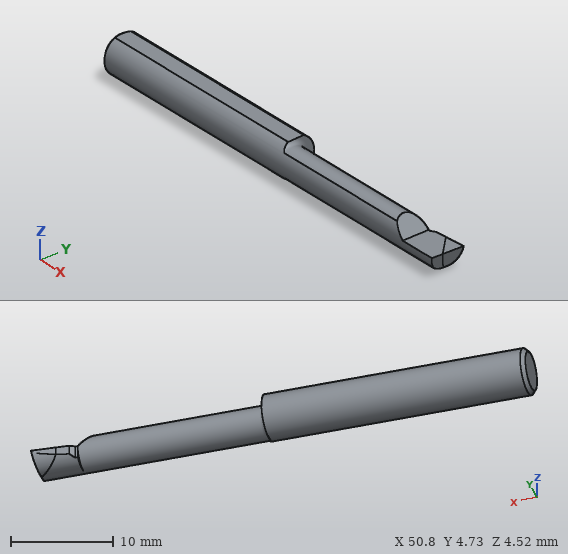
import cadquery as cq
import math


LENGTH = 50.8
SHANK_RADIUS = 2.365
SHANK_LENGTH = 26.95
FLAT_HEIGHT = 2.15
END_CHAMFER = 0.4

NECK_RADIUS = 1.8
NECK_Y = -0.8
NECK_FILLET = 0.6
NECK_EDGE_Y = NECK_Y + NECK_RADIUS

HEAD_START = 46.2
HEAD_RISE = 0.6
RAMP_LENGTH = NECK_RADIUS
TIP_Y = NECK_EDGE_Y + HEAD_RISE
FLANK_START = 46.45
FLANK_BEND_X = 46.95
FLANK_BEND_Y = 1.25

END_RELIEF_ANGLE = 10.0
END_LEAD_ANGLE = 2.0

TIP_LEG = 2.7

BLOCK = 4 * SHANK_RADIUS


def x_cylinder(radius, start, end, y=0.0):
    return cq.Workplane("YZ", origin=(start, y, 0)).circle(radius).extrude(end - start)


def make_shank():
    chamfered = x_cylinder(SHANK_RADIUS, 0, SHANK_LENGTH).faces("<X").chamfer(END_CHAMFER)
    above_flat = cq.Workplane("XY", origin=(0, 0, FLAT_HEIGHT)).rect(2 * LENGTH, BLOCK).extrude(BLOCK)
    return chamfered.cut(above_flat)


def make_neck():
    """Round neck with its fillet, limited to the flatted shank's cross-section."""
    fillet_end = SHANK_LENGTH + NECK_FILLET
    foot_radius = NECK_RADIUS + NECK_FILLET
    arc_offset = NECK_FILLET * (1 - math.sqrt(0.5))
    neck = (
        cq.Workplane("XY", origin=(0, NECK_Y, 0))
        .moveTo(SHANK_LENGTH, 0)
        .lineTo(SHANK_LENGTH, foot_radius)
        .threePointArc(
            (SHANK_LENGTH + arc_offset, NECK_RADIUS + arc_offset),
            (fillet_end, NECK_RADIUS),
        )
        .lineTo(HEAD_START, NECK_RADIUS)
        .lineTo(HEAD_START, 0)
        .close()
        .revolve(360, (0, 0, 0), (1, 0, 0))
    )
    envelope = (
        cq.Workplane("XY", origin=(SHANK_LENGTH, 0, FLAT_HEIGHT))
        .rect(2 * LENGTH, BLOCK)
        .extrude(-BLOCK)
        .intersect(x_cylinder(SHANK_RADIUS, SHANK_LENGTH, LENGTH))
    )
    ramp_relief = (
        cq.Workplane("XZ", origin=(0, BLOCK / 2, 0))
        .moveTo(HEAD_START, 0)
        .lineTo(HEAD_START - RAMP_LENGTH, RAMP_LENGTH)
        .lineTo(HEAD_START, RAMP_LENGTH)
        .close()
        .extrude(BLOCK)
    )
    return neck.intersect(envelope).cut(ramp_relief)


def make_full_head():
    """Lower half of the neck section, stretched toward +Y by a rising flank."""
    head_length = LENGTH - HEAD_START
    stretched_y = NECK_Y + HEAD_RISE
    section = (
        x_cylinder(NECK_RADIUS, HEAD_START, LENGTH, NECK_Y)
        .intersect(x_cylinder(SHANK_RADIUS, HEAD_START, LENGTH))
        .union(x_cylinder(NECK_RADIUS, HEAD_START, LENGTH, stretched_y))
        .union(
            cq.Workplane("YZ", origin=(HEAD_START, (NECK_Y + stretched_y) / 2, 0))
            .rect(HEAD_RISE, 2 * NECK_RADIUS)
            .extrude(head_length)
        )
    )
    outline = (
        cq.Workplane("XY")
        .polyline([
            (HEAD_START, -SHANK_RADIUS),
            (LENGTH, -SHANK_RADIUS),
            (LENGTH, TIP_Y),
            (FLANK_BEND_X, FLANK_BEND_Y),
            (FLANK_START, NECK_EDGE_Y),
            (HEAD_START, NECK_EDGE_Y),
        ])
        .close()
        .extrude(-NECK_RADIUS)
    )
    beyond_end = (
        cq.Workplane("XY")
        .box(BLOCK, 2 * BLOCK, 2 * BLOCK, centered=(False, True, True))
        .rotate((0, 0, 0), (0, 1, 0), END_RELIEF_ANGLE)
        .rotate((0, 0, 0), (0, 0, 1), -END_LEAD_ANGLE)
        .translate((LENGTH, TIP_Y, 0))
    )
    return section.intersect(outline).cut(beyond_end)


def make_tip_prism():
    """Triangular prism that separates the cutting tip from the head."""
    return (
        cq.Workplane("XY")
        .polyline([
            (LENGTH - TIP_LEG - HEAD_RISE, TIP_Y + HEAD_RISE),
            (LENGTH + HEAD_RISE, TIP_Y + HEAD_RISE),
            (LENGTH + HEAD_RISE, TIP_Y - TIP_LEG - HEAD_RISE),
        ])
        .close()
        .extrude(-NECK_RADIUS)
    )


full_head = make_full_head()
tip_prism = make_tip_prism()

cutting_tip = full_head.intersect(tip_prism)
bar = make_shank().union(make_neck()).union(full_head.cut(tip_prism))

result = cq.Compound.makeCompound([bar.solids().val(), cutting_tip.solids().val()])